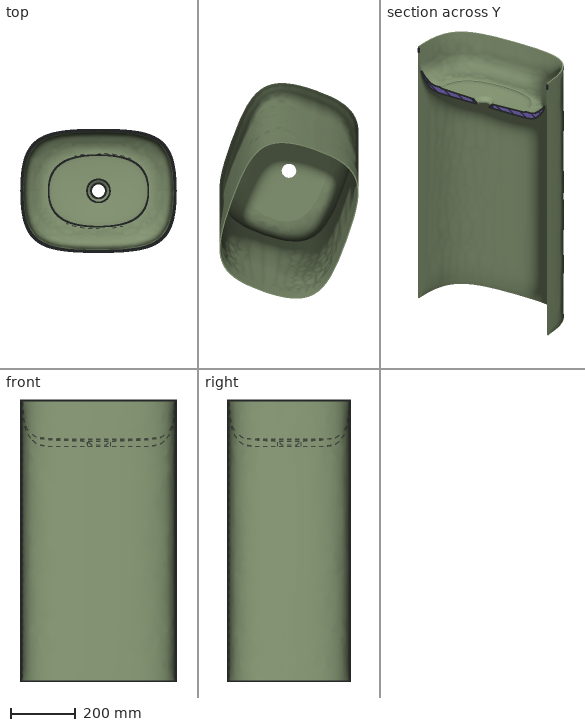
import cadquery as cq
import math

LENGTH = 480.0
WIDTH = 380.0
HEIGHT = 870.0
SHELL_WALL = 3.5

RIM_LIP = 1.0
COLLAR_DEPTH = 52.0
COLLAR_TAPER = 3.5
FLOOR_DEPTH = 122.0
DRAIN_DEPTH = 126.0
FLOOR_LENGTH = 310.0
FLOOR_WIDTH = 223.0
BASIN_WALL = 5.0
FLOOR_THICKNESS = 16.0
COLLAR_STEPS = 3
CURVE_STEPS = 5

DRAIN_RADIUS = 36.0
DRAIN_HOLE_RADIUS = 23.0
FUNNEL_DEPTH = 10.5

RIM_FULLNESS = (0.75, 0.88)
FLOOR_FULLNESS = (0.77, 0.6)
ROUND_FULLNESS = (0.55, 0.55)

RIM_HALF = (LENGTH / 2, WIDTH / 2)
CAVITY_HALF = (RIM_HALF[0] - SHELL_WALL, RIM_HALF[1] - SHELL_WALL)
BOWL_HALF = (CAVITY_HALF[0] - RIM_LIP, CAVITY_HALF[1] - RIM_LIP)
FLOOR_HALF = (FLOOR_LENGTH / 2, FLOOR_WIDTH / 2)
UNDERSIDE_HALF = (FLOOR_HALF[0] + BASIN_WALL, FLOOR_HALF[1] + BASIN_WALL)
DRAIN_HALF = (DRAIN_RADIUS, DRAIN_RADIUS)


def blend(start, end, share):
    """Mix two pairs of numbers; share 0 gives start and 1 gives end."""
    return tuple(a + (b - a) * share for a, b in zip(start, end))


def outline(half, fullness, z):
    """Closed outline of four equal quarter curves that meet on the X and Y axes."""
    half_x, half_y = half
    handle_x = half_x * fullness[0]
    handle_y = half_y * fullness[1]
    quarter = [(half_x, 0), (half_x, handle_y), (handle_x, half_y), (0, half_y)]
    left = [(-x, y) for x, y in reversed(quarter)]
    loop = [quarter, left]
    loop += [[(-x, -y) for x, y in curve] for curve in (quarter, left)]
    edges = [cq.Edge.makeBezier([cq.Vector(x, y, z) for x, y in curve]) for curve in loop]
    return cq.Wire.assembleEdges(edges)


def oval_prism(half):
    """Full-height upright solid with the rim's outline shape."""
    base = outline(half, RIM_FULLNESS, 0)
    return cq.Solid.extrudeLinear(base, [], cq.Vector(0, 0, HEIGHT))


def bowl_solid(rim_half, floor_half, floor_depth):
    """Solid bowl shape: a nearly upright wall that rounds into a flat oval floor."""
    curve_half = (rim_half[0] - COLLAR_TAPER, rim_half[1] - COLLAR_TAPER)
    sections = []
    for step in range(COLLAR_STEPS):
        share = step / COLLAR_STEPS
        half = blend(rim_half, curve_half, share)
        sections.append(outline(half, RIM_FULLNESS, HEIGHT - COLLAR_DEPTH * share))
    for step in range(CURVE_STEPS + 1):
        angle = math.pi / 2 * step / CURVE_STEPS
        share = 1 - math.cos(angle)
        depth = COLLAR_DEPTH + (floor_depth - COLLAR_DEPTH) * math.sin(angle)
        half = blend(curve_half, floor_half, share)
        fullness = blend(RIM_FULLNESS, FLOOR_FULLNESS, share)
        sections.append(outline(half, fullness, HEIGHT - depth))
    return cq.Solid.makeLoft(sections)


def make_pedestal():
    """Oval tube, open at both ends."""
    outside = oval_prism(RIM_HALF)
    cavity = oval_prism(CAVITY_HALF)
    return cq.Workplane(outside).cut(cq.Workplane(cavity)).solids()


def make_basin():
    """Thin bowl hung at the rim, with a floor that falls to a round drain opening."""
    outside = bowl_solid(CAVITY_HALF, UNDERSIDE_HALF, DRAIN_DEPTH + FLOOR_THICKNESS)
    inside = bowl_solid(BOWL_HALF, FLOOR_HALF, FLOOR_DEPTH)
    floor_edge = outline(FLOOR_HALF, FLOOR_FULLNESS, HEIGHT - FLOOR_DEPTH)
    drain_edge = outline(DRAIN_HALF, ROUND_FULLNESS, HEIGHT - DRAIN_DEPTH)
    floor_fall = cq.Solid.makeLoft([floor_edge, drain_edge], True)
    opening = cq.Workplane().circle(DRAIN_RADIUS).extrude(HEIGHT)
    basin = cq.Workplane(outside).cut(cq.Workplane(inside))
    return basin.cut(cq.Workplane(floor_fall)).cut(opening).solids()


def make_drain():
    """Ring in the basin's opening, with a funnel that leads to the outlet hole."""
    top = HEIGHT - DRAIN_DEPTH
    bottom = top - FLOOR_THICKNESS
    profile = [
        (DRAIN_HOLE_RADIUS, bottom),
        (DRAIN_RADIUS, bottom),
        (DRAIN_RADIUS, top),
        (DRAIN_HOLE_RADIUS, top - FUNNEL_DEPTH),
    ]
    return cq.Workplane("XZ").polyline(profile).close().revolve(360, (0, 0), (0, 1))


pedestal = make_pedestal()
basin = make_basin()
drain = make_drain()

result = cq.Compound.makeCompound([pedestal.val(), basin.val(), drain.val()])